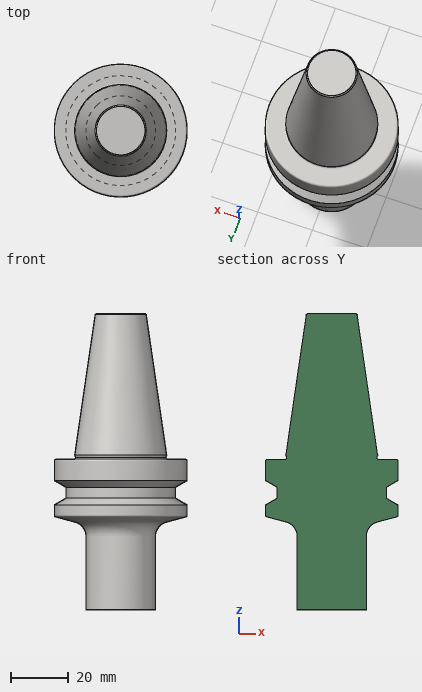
import cadquery as cq
import math

total_height = 102.4
flange_top = 52.0
taper_base_height = 53.5

shank_radius = 24.1 / 2
flange_radius = 46.0 / 2
flange_rounding = 0.6
flange_rim_bottom = 32.7

groove_radius = 38.0 / 2
groove_upper_edge = 44.6
groove_lower_edge = 36.2
groove_flank_angle = math.radians(30.0)

taper_base_radius = 31.8 / 2
taper_slope = 7 / 48
tip_chamfer = 0.4

relief_radius = 31.3 / 2
relief_height = 52.6
relief_fillet = relief_height - flange_top

underside_angle = math.radians(15.0)
blend_radius = 5.0

flank_rise = (flange_radius - groove_radius) * math.tan(groove_flank_angle)
tip_radius = taper_base_radius - (total_height - taper_base_height) * taper_slope
tip_chamfer_radius = tip_radius + tip_chamfer * taper_slope

underside_start_radius = flange_radius - flange_rounding * (1 - math.sin(underside_angle))
underside_start_height = flange_rim_bottom - flange_rounding * math.cos(underside_angle)

underside_end_radius = shank_radius + blend_radius * (1 - math.sin(underside_angle))
underside_drop = (underside_start_radius - underside_end_radius) * math.tan(underside_angle)
underside_end_height = underside_start_height - underside_drop
blend_bottom = underside_end_height - blend_radius * math.cos(underside_angle)

profile = (
    cq.Workplane("XZ")
    .lineTo(shank_radius, 0)
    .lineTo(shank_radius, blend_bottom)
    .tangentArcPoint((underside_end_radius, underside_end_height), relative=False)
    .lineTo(underside_start_radius, underside_start_height)
    .tangentArcPoint((flange_radius, flange_rim_bottom), relative=False)
    .lineTo(flange_radius, groove_lower_edge)
    .lineTo(groove_radius, groove_lower_edge + flank_rise)
    .lineTo(groove_radius, groove_upper_edge - flank_rise)
    .lineTo(flange_radius, groove_upper_edge)
    .lineTo(flange_radius, flange_top - flange_rounding)
    .tangentArcPoint((flange_radius - flange_rounding, flange_top), relative=False)
    .lineTo(relief_radius + relief_fillet, flange_top)
    .tangentArcPoint((relief_radius, relief_height), relative=False)
    .lineTo(taper_base_radius, taper_base_height)
    .lineTo(tip_chamfer_radius, total_height - tip_chamfer)
    .lineTo(tip_radius - tip_chamfer, total_height)
    .lineTo(0, total_height)
    .close()
)

result = profile.revolve(360, (0, 0, 0), (0, 1, 0))